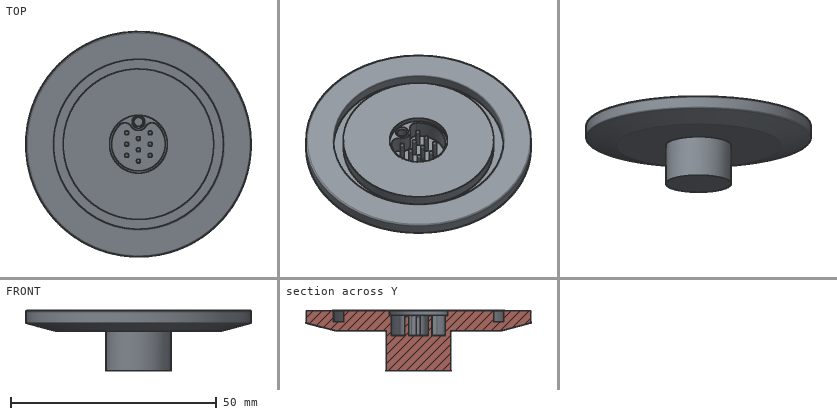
import cadquery as cq
import math


flange_radius = 27.45
rim_height = 3.05
flange_height = 5.05
cone_angle = 15.0
rim_fillet = 0.35
cone_base_radius = flange_radius - (flange_height - rim_height) / math.tan(math.radians(cone_angle))

groove_outer_radius = 20.7
groove_inner_radius = 18.3
groove_depth = 2.75
groove_edge_fillet = 0.15

total_height = 14.7
body_radius = 15.9 / 2

recess_radius = 14.1 / 2
recess_depth = 1.2
cavity_radius = 6.55
cavity_depth = 6.05

lug_offset = 5.45
lug_radius = 2.1
lug_blend_radius = 1.75
key_hole_radius = 2.25 / 2
key_hole_depth = 2.75
countersink_radius = 1.55
countersink_depth = 0.4

pin_radius = 1.0 / 2
pin_tip_fillet = 0.45
pin_pitch = 2.75
pin_column_spacing = 2.85
side_column_rows = (-pin_pitch, 0, pin_pitch)
middle_column_rows = tuple(y - pin_pitch / 2 for y in side_column_rows)


def cylinder(radius, height, top_z=0.0):
    """Solid cylinder on the Z axis, reaching down from top_z."""
    return cq.Workplane("XY").workplane(offset=top_z).circle(radius).extrude(-height)


def make_flange():
    """Disc with a rounded rim and a conical underside."""
    blank = (
        cq.Workplane("XZ")
        .lineTo(flange_radius, 0)
        .lineTo(flange_radius, -rim_height)
        .lineTo(cone_base_radius, -flange_height)
        .lineTo(0, -flange_height)
        .close()
        .revolve(360, (0, 0, 0), (0, 1, 0))
    )
    rim_edges = blank.edges(cq.selectors.RadiusNthSelector(-1))
    return rim_edges.fillet(rim_fillet)


def make_groove():
    """Ring cutter whose outer edge rounds over at the top face."""
    corner = groove_outer_radius + groove_edge_fillet
    bend = groove_edge_fillet * (1 - math.sqrt(0.5))
    return (
        cq.Workplane("XZ")
        .moveTo(groove_inner_radius, 0)
        .lineTo(corner, 0)
        .threePointArc(
            (groove_outer_radius + bend, -bend),
            (groove_outer_radius, -groove_edge_fillet),
        )
        .lineTo(groove_outer_radius, -groove_depth)
        .lineTo(groove_inner_radius, -groove_depth)
        .close()
        .revolve(360, (0, 0, 0), (0, 1, 0))
    )


def make_cavity():
    """Keyed cavity cutter: a circle notched by the lug, with blended corners."""
    height = cavity_depth - recess_depth
    lug = cylinder(lug_radius, height, -recess_depth).translate((0, lug_offset, 0))
    cavity = cylinder(cavity_radius, height, -recess_depth).cut(lug)
    lug_reach = lug_offset - lug_radius
    corners = cq.selectors.BoxSelector(
        (-cavity_radius, lug_reach, -cavity_depth),
        (cavity_radius, cavity_radius, 0),
    )
    return cavity.edges("|Z").edges(corners).fillet(lug_blend_radius)


def make_key_hole():
    """Blind hole with a conical mouth, opening on the lug face."""
    hole = cylinder(key_hole_radius, key_hole_depth, -recess_depth)
    mouth = (
        cq.Workplane("XY")
        .workplane(offset=-recess_depth)
        .circle(countersink_radius)
        .workplane(offset=-countersink_depth)
        .circle(key_hole_radius)
        .loft(ruled=True)
    )
    return hole.union(mouth).translate((0, lug_offset, 0))


def make_pins():
    """Round-tipped pins rooted in the cavity floor, level with the recess floor."""
    columns = (
        (-pin_column_spacing, side_column_rows),
        (0, middle_column_rows),
        (pin_column_spacing, side_column_rows),
    )
    places = [(x, y) for x, rows in columns for y in rows]
    return (
        cq.Workplane("XY")
        .workplane(offset=-cavity_depth)
        .pushPoints(places)
        .circle(pin_radius)
        .extrude(cavity_depth - recess_depth)
        .faces(">Z")
        .edges()
        .fillet(pin_tip_fillet)
    )


result = (
    make_flange()
    .union(cylinder(body_radius, total_height))
    .cut(make_groove())
    .cut(cylinder(recess_radius, recess_depth))
    .cut(make_cavity())
    .cut(make_key_hole())
    .union(make_pins())
)